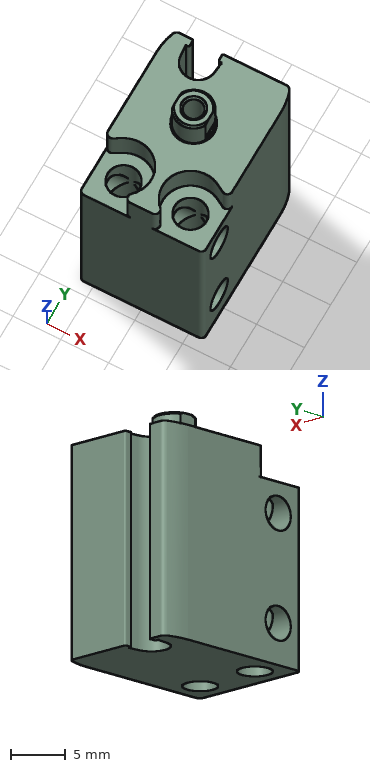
import cadquery as cq
import math

width = 13.0
depth = 17.5
height = 20.5
half_width = width / 2
front_corner_radius = 0.5

flank_radius = 7.0
flank_length = 2.7
back_corner_radius = 0.55

mount_hole_diameter = 3.3
mount_offset = 3.0
mount_x = half_width - mount_offset
cross_hole_heights = (4.0, 14.5)

recess_radius = 2.9
recess_depth = 3.0
side_wall_angle = math.radians(30)
rib_wall_angle = math.radians(40)
recess_lip_radius = 0.5

slot_x = -2.6
slot_radius = 1.78
slot_taper = math.radians(5)
slot_depth = 3.63
slot_mouth_width = 3.05
slot_lip_thickness = 0.83
slot_lip_fillet = 0.15

rod_y = 10.0
rod_diameter = 4.0
rod_projection = 3.0
rod_insertion = 10.0
rod_top_chamfer = 0.2
rod_top = height + rod_projection
bore_chamfer = 0.15
flat_width = 3.5
flat_clearance = 0.3
thread_diameter = 2.01
thread_mouth_diameter = 2.46
thread_depth = 5.0
drill_tip_angle = math.radians(118)


def polar(center, radius, angle):
    return (center[0] + radius * math.cos(angle), center[1] + radius * math.sin(angle))


def mirrored(point):
    return (-point[0], point[1])


def housing_block():
    """Block with rounded front corners and eased back corners."""
    flank_start = (half_width, depth - flank_length)
    flank_center = (half_width - flank_radius, depth - flank_length)
    corner_y = depth - back_corner_radius
    center_distance = flank_radius - back_corner_radius
    turn = math.asin((corner_y - flank_center[1]) / center_distance)
    corner_center = polar(flank_center, center_distance, turn)
    flank_middle = polar(flank_center, flank_radius, turn / 2)
    flank_end = polar(flank_center, flank_radius, turn)
    corner_middle = polar(corner_center, back_corner_radius, (turn + math.pi / 2) / 2)
    back_end = (corner_center[0], depth)
    outline = (
        cq.Workplane("XY")
        .moveTo(-half_width, 0)
        .lineTo(half_width, 0)
        .lineTo(*flank_start)
        .threePointArc(flank_middle, flank_end)
        .threePointArc(corner_middle, back_end)
        .lineTo(*mirrored(back_end))
        .threePointArc(mirrored(corner_middle), mirrored(flank_end))
        .threePointArc(mirrored(flank_middle), mirrored(flank_start))
        .close()
    )
    front_edges = cq.selectors.BoxSelector(
        (-width, -front_corner_radius, 0), (width, front_corner_radius, height)
    )
    return outline.extrude(height).edges("|Z").edges(front_edges).fillet(front_corner_radius)


def screw_recess():
    """Recess at the left front corner: an arc around the hole with a rounded lip at each end."""
    center = (-mount_x, mount_offset)

    wall_normal = math.pi / 2 + side_wall_angle
    wall_end = polar(center, recess_radius, wall_normal)
    side_x = -half_width + recess_lip_radius
    wall_run = wall_end[0] - (side_x + recess_lip_radius * math.sin(side_wall_angle))
    wall_start = (wall_end[0] - wall_run, wall_end[1] - wall_run * math.tan(side_wall_angle))
    side_center = polar(wall_start, recess_lip_radius, wall_normal)
    side_start = (-half_width, side_center[1])
    side_middle = polar(side_center, recess_lip_radius, math.pi + wall_normal / 2)

    arc_middle = polar(center, recess_radius, (wall_normal - rib_wall_angle) / 2)
    arc_end = polar(center, recess_radius, -rib_wall_angle)
    lip_start_y = recess_lip_radius * (1 + math.sin(rib_wall_angle))
    lip_start = (arc_end[0] - (arc_end[1] - lip_start_y) * math.tan(rib_wall_angle), lip_start_y)
    rib_center = polar(lip_start, recess_lip_radius, -rib_wall_angle)
    rib_middle = (rib_center[0] - recess_lip_radius, rib_center[1])
    rib_end = (rib_center[0], 0)
    return (
        cq.Workplane("XY", origin=(0, 0, height - recess_depth))
        .moveTo(-half_width, 0)
        .lineTo(*side_start)
        .threePointArc(side_middle, wall_start)
        .lineTo(*wall_end)
        .threePointArc(arc_middle, arc_end)
        .lineTo(*lip_start)
        .threePointArc(rib_middle, rib_end)
        .close()
        .extrude(recess_depth)
    )


def sensor_slot():
    """Round-bottomed slot through the full height, with a narrower mouth in the back face."""
    lip_y = depth - slot_lip_thickness
    center_y = depth - slot_depth + slot_radius
    tangent_x = slot_radius * math.cos(slot_taper)
    tangent_y = center_y - slot_radius * math.sin(slot_taper)
    top_half_width = tangent_x + (lip_y - tangent_y) * math.tan(slot_taper)
    channel = (
        cq.Workplane("XY")
        .moveTo(slot_x - top_half_width, lip_y)
        .lineTo(slot_x - tangent_x, tangent_y)
        .threePointArc((slot_x, depth - slot_depth), (slot_x + tangent_x, tangent_y))
        .lineTo(slot_x + top_half_width, lip_y)
        .close()
        .extrude(height)
    )
    mouth = (
        cq.Workplane("XY")
        .center(slot_x, center_y + (depth - center_y) / 2)
        .rect(slot_mouth_width, depth - center_y)
        .extrude(height)
    )
    return channel.union(mouth)


def round_slot_lips(body):
    half_mouth = slot_mouth_width / 2
    tolerance = 0.05
    lip_edges = cq.selectors.BoxSelector(
        (slot_x - half_mouth - tolerance, depth - slot_lip_thickness - tolerance, 0),
        (slot_x + half_mouth + tolerance, depth + tolerance, height),
    )
    return body.edges("|Z").edges(lip_edges).fillet(slot_lip_fillet)


def make_housing():
    body = round_slot_lips(housing_block().cut(sensor_slot()))

    recess = screw_recess()
    body = body.cut(recess).cut(recess.mirror("YZ"))

    for x in (-mount_x, mount_x):
        hole = cq.Workplane("XY").center(x, mount_offset).circle(mount_hole_diameter / 2)
        body = body.cut(hole.extrude(height))
    for z in cross_hole_heights:
        hole = cq.Workplane("YZ").center(mount_offset, z).circle(mount_hole_diameter / 2)
        body = body.cut(hole.extrude(half_width, both=True))

    bore_radius = rod_diameter / 2
    bore = (
        cq.Workplane("XZ", origin=(0, rod_y, 0))
        .moveTo(0, height - rod_insertion)
        .lineTo(bore_radius, height - rod_insertion)
        .lineTo(bore_radius, height - bore_chamfer)
        .lineTo(bore_radius + bore_chamfer, height)
        .lineTo(0, height)
        .close()
        .revolve(360, (0, 0), (0, 1))
    )
    return body.cut(bore)


def thread_hole():
    """Drilled hole in the rod end with a countersunk mouth and a conical tip."""
    radius = thread_diameter / 2
    mouth_radius = thread_mouth_diameter / 2
    hole_bottom = rod_top - thread_depth
    tip_length = radius / math.tan(drill_tip_angle / 2)
    return (
        cq.Workplane("XZ", origin=(0, rod_y, 0))
        .moveTo(0, rod_top)
        .lineTo(mouth_radius, rod_top)
        .lineTo(radius, rod_top - (mouth_radius - radius))
        .lineTo(radius, hole_bottom)
        .lineTo(0, hole_bottom - tip_length)
        .close()
        .revolve(360, (0, 0), (0, 1))
    )


def make_rod():
    rod = (
        cq.Workplane("XY", origin=(0, rod_y, height - rod_insertion))
        .circle(rod_diameter / 2)
        .extrude(rod_insertion + rod_projection)
        .faces(">Z")
        .chamfer(rod_top_chamfer)
    )
    flat_length = rod_projection - flat_clearance
    flat_middle_z = rod_top - flat_length / 2
    for side in (-1, 1):
        cutter = cq.Workplane("XY").box(rod_diameter, rod_diameter, flat_length)
        cutter_x = side * (flat_width + rod_diameter) / 2
        rod = rod.cut(cutter.translate((cutter_x, rod_y, flat_middle_z)))
    return rod.cut(thread_hole())


housing = make_housing()
rod = make_rod()

result = cq.Compound.makeCompound([housing.val(), rod.val()])